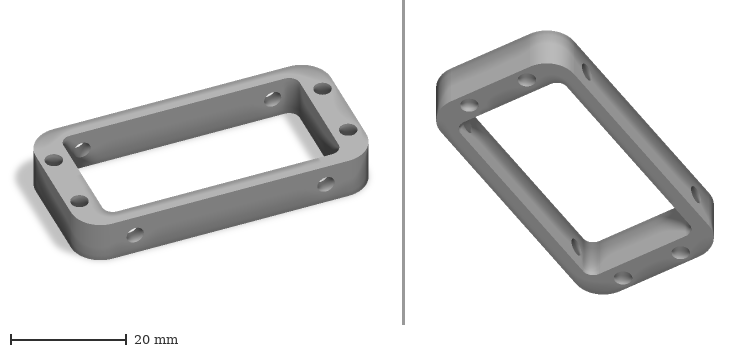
import cadquery as cq

width = 27.0
length = 55.0
height = 8.0
outer_radius = 5.5

side_wall = 2.7
end_wall = 5.5
window_width = width - 2 * side_wall
window_length = length - 2 * end_wall
window_radius = 2.0

hole_diameter = 3.2
end_hole_spacing_x = 11.7
end_hole_spacing_y = 50.05
side_hole_spacing = 35.55


def rounded_block(size_x, size_y, corner_radius):
    """Block of the frame height, centred on the origin, with rounded vertical edges."""
    return cq.Workplane("XY").box(size_x, size_y, height).edges("|Z").fillet(corner_radius)


def end_holes():
    """Vertical holes, two through each end wall."""
    return (
        cq.Workplane("XY")
        .rarray(end_hole_spacing_x, end_hole_spacing_y, 2, 2)
        .circle(hole_diameter / 2)
        .extrude(height, both=True)
    )


def side_holes():
    """Horizontal holes along X, passing through both side walls at mid height."""
    return (
        cq.Workplane("YZ")
        .pushPoints([(-side_hole_spacing / 2, 0), (side_hole_spacing / 2, 0)])
        .circle(hole_diameter / 2)
        .extrude(width, both=True)
    )


frame = rounded_block(width, length, outer_radius)
window = rounded_block(window_width, window_length, window_radius)
result = frame.cut(window).cut(end_holes()).cut(side_holes())